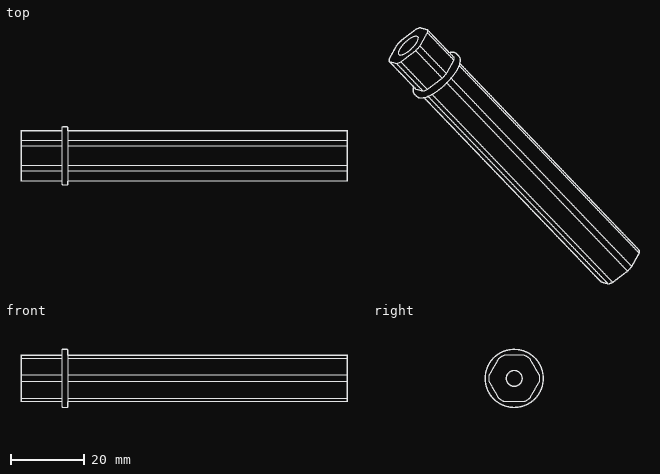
import cadquery as cq
import math

shaft_length = 88.8
across_flats = 12.7
corner_diameter = 13.8

collar_diameter = 15.9
collar_start = 11.1
collar_width = 1.6
collar_edge_radius = 0.3

bore_diameter = 7.0
bore_depth = 22.2
through_diameter = 4.3
drill_point_angle = 118.0


def cylinder_along_x(diameter, start, length):
    return cq.Workplane("YZ", origin=(start, 0, 0)).circle(diameter / 2).extrude(length)


def make_shaft():
    across_corners = across_flats / math.cos(math.radians(30))
    hexagon = (
        cq.Workplane("YZ")
        .polygon(6, across_corners)
        .extrude(shaft_length)
    )
    return hexagon.intersect(cylinder_along_x(corner_diameter, 0, shaft_length))


def make_collar():
    collar = cylinder_along_x(collar_diameter, collar_start, collar_width)
    return collar.edges("%CIRCLE").fillet(collar_edge_radius)


def make_bore():
    bore_radius = bore_diameter / 2
    through_radius = through_diameter / 2
    cone_slope = math.tan(math.radians(drill_point_angle / 2))
    cone_end = bore_depth + (bore_radius - through_radius) / cone_slope
    return (
        cq.Workplane("XY")
        .lineTo(0, bore_radius)
        .lineTo(bore_depth, bore_radius)
        .lineTo(cone_end, through_radius)
        .lineTo(shaft_length, through_radius)
        .lineTo(shaft_length, 0)
        .close()
        .revolve(360, (0, 0, 0), (1, 0, 0))
    )


result = make_shaft().union(make_collar()).cut(make_bore())